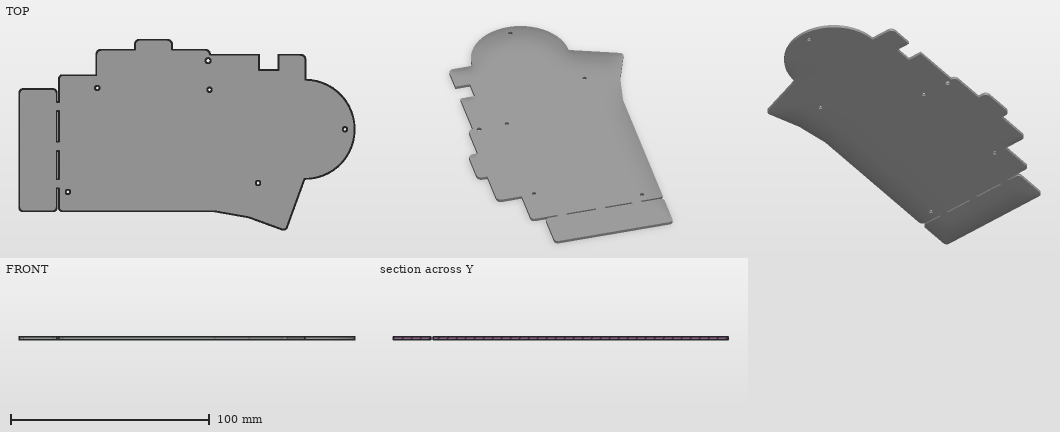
import math

import cadquery as cq

total_length = 168.74
total_depth = 95.62
thickness = 1.58
corner_radius = 2.0
wide_corner_radius = 2.5

strip_width = 18.9
strip_height = 61.6
gap_width = 1.0
bridge_width = 4.7
bridge_centers_y = [13.9, 32.7, 52.75]

plate_left = strip_width + gap_width
first_step_top = 68.6
second_step_left = 38.7
second_step_top = 81.35
tab_left = 58.1
tab_right = 76.9
second_step_right = 96.0
shelf_top = 78.8
shelf_right = 144.0
notch_left = 120.7
notch_right = 130.3
notch_bottom = 71.2

round_radius = 25.0
round_center_x = total_length - round_radius
round_center_y = 41.3
round_bottom = round_center_y - round_radius

bend_angle = math.radians(10)
tilt_angle = 2 * bend_angle
first_bend_x = 98.3
second_bend_x = 115.4
second_bend_y = -(second_bend_x - first_bend_x) * math.tan(bend_angle)
flank_top_x = 143.5

last_edge_length = (
    (flank_top_x - second_bend_x) * math.cos(tilt_angle)
    - (round_bottom - second_bend_y) * math.sin(tilt_angle)
)
low_corner_x = second_bend_x + last_edge_length * math.cos(tilt_angle)
low_corner_y = second_bend_y - last_edge_length * math.sin(tilt_angle)

low_corner_rise = corner_radius * (math.cos(tilt_angle) + math.sin(tilt_angle) - 1)
tab_top = low_corner_y + low_corner_rise + total_depth

small_hole_diameter = 2.2
large_hole_diameter = 2.5
small_hole_centers = [
    (24.5, 9.8),
    (39.25, 62.1),
    (95.7, 61.2),
    (120.1, 14.3),
    (163.8, round_center_y),
]
large_hole_centers = [(95.0, 75.8)]


def round_corners(body, corners, radius):
    """Round the vertical edges standing at the given XY corners."""
    reach = 0.1
    for x, y in corners:
        selector = cq.selectors.BoxSelector(
            (x - reach, y - reach, -reach),
            (x + reach, y + reach, thickness + reach),
        )
        body = body.edges("|Z").edges(selector).fillet(radius)
    return body


def make_block(left, bottom, right, top):
    """Full-thickness rectangular block between two XY corners."""
    return (
        cq.Workplane("XY")
        .box(right - left, top - bottom, thickness, centered=False)
        .translate((left, bottom, 0))
    )


def make_plate():
    """Main plate with stepped top, notch, round end and bent bottom edge."""
    outline = (
        cq.Workplane("XY")
        .moveTo(plate_left, 0)
        .lineTo(plate_left, first_step_top)
        .lineTo(second_step_left, first_step_top)
        .lineTo(second_step_left, second_step_top)
        .lineTo(tab_left, second_step_top)
        .lineTo(tab_left, tab_top)
        .lineTo(tab_right, tab_top)
        .lineTo(tab_right, second_step_top)
        .lineTo(second_step_right, second_step_top)
        .lineTo(second_step_right, shelf_top)
        .lineTo(notch_left, shelf_top)
        .lineTo(notch_left, notch_bottom)
        .lineTo(notch_right, notch_bottom)
        .lineTo(notch_right, shelf_top)
        .lineTo(shelf_right, shelf_top)
        .lineTo(shelf_right, round_center_y + round_radius)
        .lineTo(round_center_x, round_center_y + round_radius)
        .threePointArc((total_length, round_center_y), (round_center_x, round_bottom))
        .lineTo(flank_top_x, round_bottom)
        .lineTo(low_corner_x, low_corner_y)
        .lineTo(second_bend_x, second_bend_y)
        .lineTo(first_bend_x, 0)
        .close()
    )
    small_corners = [
        (plate_left, 0),
        (plate_left, first_step_top),
        (low_corner_x, low_corner_y),
    ]
    wide_corners = [
        (second_step_left, second_step_top),
        (tab_left, tab_top),
        (tab_right, tab_top),
        (second_step_right, second_step_top),
        (shelf_right, shelf_top),
    ]
    plate = round_corners(outline.extrude(thickness), small_corners, corner_radius)
    return round_corners(plate, wide_corners, wide_corner_radius)


def make_strip():
    """Break-off strip with four rounded corners."""
    strip = make_block(0, 0, strip_width, strip_height)
    return strip.edges("|Z").fillet(corner_radius)


def add_bridges(body):
    """Fuse the bridges that span the gap between strip and plate."""
    for center_y in bridge_centers_y:
        lower = center_y - bridge_width / 2
        upper = center_y + bridge_width / 2
        body = body.union(make_block(strip_width, lower, plate_left, upper))
    return body


def cut_holes(body, centers, diameter):
    """Cut round through holes at the given XY centers."""
    cutters = cq.Workplane("XY").pushPoints(centers).circle(diameter / 2).extrude(thickness)
    return body.cut(cutters)


result = add_bridges(make_plate().union(make_strip()))
result = cut_holes(result, small_hole_centers, small_hole_diameter)
result = cut_holes(result, large_hole_centers, large_hole_diameter)